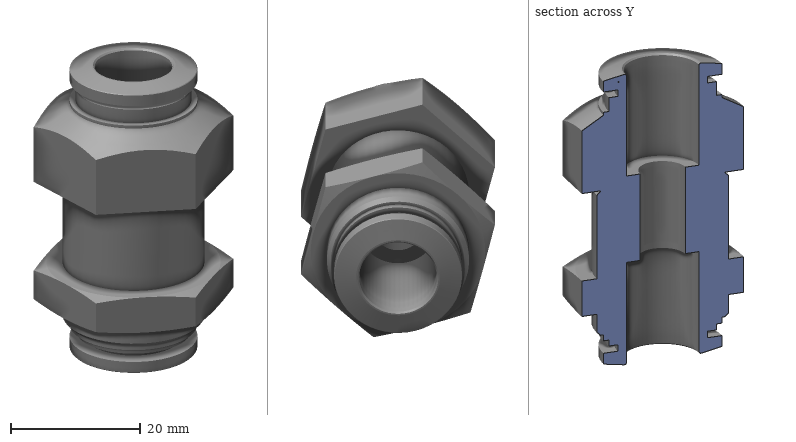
import cadquery as cq
import math

total_height = 48.5
hex_flats = 27.0
flat_half_angle = 30.0
corner_radius = hex_flats / 2 / math.cos(math.radians(flat_half_angle))

flange_radius = 19.8 / 2
neck_radius = 15.0 / 2
sleeve_height = 2.5
neck_end = 3.5
flange_crown = 0.6
flange_edge_bevel = 0.1
rim_outer_radius = 6.5
rim_inner_radius = 6.25
mouth_depth = 0.25

socket_radius = 12.0 / 2
socket_depth = 17.0
bore_radius = 7.5 / 2

insert_radius = 18.0 / 2
shoulder_radius = flange_radius
barrel_radius = 22.0 / 2
barrel_chamfer = 0.6
barrel_bottom = 5.5
lower_insert_end = 4.5
head_bottom = total_height - 18.9
shoulder_bottom = total_height - 6.3
shoulder_top = total_height - 5.8
head_slope = 30.0

nut_bottom = 9.1
nut_height = 6.0
nut_bevel_angle = 15.0
nut_face_radius = hex_flats / 2


def disc(radius, bottom, top):
    """Solid cylinder about the Z axis between two heights."""
    return cq.Workplane("XY").workplane(offset=bottom).circle(radius).extrude(top - bottom)


def hexagon(bottom, top):
    """Hexagonal prism with two flats facing +X and -X."""
    prism = cq.Workplane("XY").polygon(6, 2 * corner_radius).extrude(top - bottom)
    return prism.rotate((0, 0, 0), (0, 0, 1), flat_half_angle).translate((0, 0, bottom))


def revolve(profile):
    """Revolve a closed (radius, height) outline about the Z axis."""
    return cq.Workplane("XZ").polyline(profile).close().revolve(360, (0, 0, 0), (0, 1, 0))


def make_lower_sleeve():
    """Flange and neck at the lower end, without the socket."""
    bevel_radius = flange_radius - flange_edge_bevel
    flange = revolve([
        (0, 0),
        (rim_outer_radius, 0),
        (bevel_radius, flange_crown),
        (flange_radius, flange_crown + flange_edge_bevel),
        (flange_radius, sleeve_height),
        (0, sleeve_height),
    ])
    return flange.union(disc(neck_radius, sleeve_height, neck_end))


def make_lower_socket():
    """Tube socket with a bevelled mouth, as a cutting tool."""
    return revolve([
        (0, 0),
        (rim_inner_radius, 0),
        (socket_radius, mouth_depth),
        (socket_radius, socket_depth),
        (0, socket_depth),
    ])


def at_top(lower):
    """Mirror a lower-end shape to the upper end."""
    return lower.mirror("XY").translate((0, 0, total_height))


def make_head():
    """Hexagonal head whose upper side is a cone ending at the shoulder."""
    cone_drop = (corner_radius - shoulder_radius) * math.tan(math.radians(head_slope))
    envelope = revolve([
        (0, head_bottom),
        (corner_radius, head_bottom),
        (corner_radius, shoulder_bottom - cone_drop),
        (shoulder_radius, shoulder_bottom),
        (shoulder_radius, shoulder_top),
        (0, shoulder_top),
    ])
    return hexagon(head_bottom, shoulder_top).intersect(envelope)


def make_nut():
    """Lock nut with its corners bevelled on both faces."""
    nut_top = nut_bottom + nut_height
    bevel = (corner_radius - nut_face_radius) * math.tan(math.radians(nut_bevel_angle))
    envelope = revolve([
        (0, nut_bottom),
        (nut_face_radius, nut_bottom),
        (corner_radius, nut_bottom + bevel),
        (corner_radius, nut_top - bevel),
        (nut_face_radius, nut_top),
        (0, nut_top),
    ])
    return hexagon(nut_bottom, nut_top).intersect(envelope)


def make_barrel():
    """Cylindrical barrel with both end edges chamfered."""
    barrel = disc(barrel_radius, barrel_bottom, head_bottom)
    return barrel.faces("<Z or >Z").edges().chamfer(barrel_chamfer)


lower_sleeve = make_lower_sleeve()
lower_socket = make_lower_socket()

result = (
    make_barrel()
    .union(make_head())
    .union(make_nut())
    .union(disc(insert_radius, neck_end, barrel_bottom))
    .union(disc(shoulder_radius, lower_insert_end, barrel_bottom))
    .union(disc(insert_radius, shoulder_top, total_height - neck_end))
    .union(lower_sleeve)
    .union(at_top(lower_sleeve))
    .cut(lower_socket)
    .cut(at_top(lower_socket))
    .cut(disc(bore_radius, 0, total_height))
)